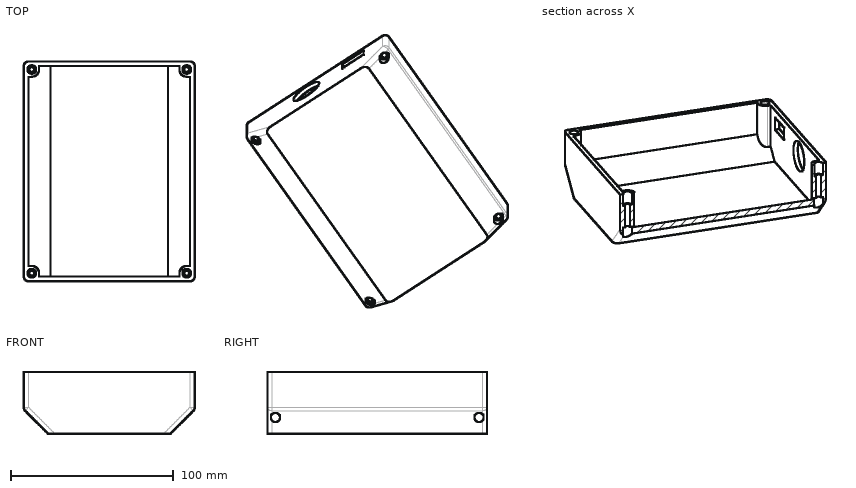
import cadquery as cq

length_x = 105.0
length_y = 135.0
height = 38.0
wall = 3.0
slope_leg = 15.0
inner_slope_leg = 13.6
edge_radius = 3.0

post_inset = 5.0
post_radius = 4.5
screw_diameter = 3.1
insert_diameter = 5.3
insert_depth = 8.0
head_diameter = 5.7
head_seat_z = 15.0

round_diameter = 19.0
round_x = 59.4
round_z = 25.1
window_width = 15.9
window_height = 8.2
window_x = 24.8
window_z = 28.9


def sloped_prism(inset, leg, bottom, y_start, y_end):
    """Prism along Y whose lower side edges are cut at 45 degrees."""
    left = inset
    right = length_x - inset
    outline = [
        (left, height),
        (left, bottom + leg),
        (left + leg, bottom),
        (right - leg, bottom),
        (right, bottom + leg),
        (right, height),
    ]
    return (
        cq.Workplane("XZ", origin=(0, y_start, 0))
        .polyline(outline)
        .close()
        .extrude(y_start - y_end)
    )


def make_outer_body():
    body = sloped_prism(0, slope_leg, 0, 0, length_y)
    upright_edges = body.edges("|Z").vals()
    bend_edges = body.edges("|Y").edges("not(<Z or >Z)").vals()
    slope_edges = body.edges("not(|X or |Y or |Z)").vals()
    return body.newObject(upright_edges + bend_edges + slope_edges).fillet(edge_radius)


def make_cavity():
    return sloped_prism(wall, inner_slope_leg, wall, wall, length_y - wall)


def upright_block(x, y, size_x, size_y):
    return cq.Workplane("XY").center(x, y).rect(size_x, size_y).extrude(height)


def make_post(x, y):
    """Round post with flat sides running from its axis out to both nearby walls."""
    outer_x = 0 if x < length_x / 2 else length_x
    outer_y = 0 if y < length_y / 2 else length_y
    column = cq.Workplane("XY").center(x, y).circle(post_radius).extrude(height)
    web_x = upright_block((x + outer_x) / 2, y, post_inset, 2 * post_radius)
    web_y = upright_block(x, (y + outer_y) / 2, 2 * post_radius, post_inset)
    return column.union(web_x).union(web_y)


def bore(x, y, diameter, bottom, top):
    return (
        cq.Workplane("XY", origin=(x, y, bottom))
        .circle(diameter / 2)
        .extrude(top - bottom)
    )


def make_screw_hole(x, y):
    """Through hole with an insert bore at the rim and a screw head bore from below."""
    shank = bore(x, y, screw_diameter, 0, height)
    insert = bore(x, y, insert_diameter, height - insert_depth, height)
    head = bore(x, y, head_diameter, 0, head_seat_z)
    return shank.union(insert).union(head)


def make_wall_openings():
    outer_face = cq.Workplane("XZ", origin=(0, length_y, 0))
    round_opening = outer_face.center(round_x, round_z).circle(round_diameter / 2).extrude(wall)
    window = outer_face.center(window_x, window_z).rect(window_width, window_height).extrude(wall)
    return round_opening.union(window)


post_centers = [
    (x, y)
    for x in (post_inset, length_x - post_inset)
    for y in (post_inset, length_y - post_inset)
]

cavity = make_cavity()
for x, y in post_centers:
    cavity = cavity.cut(make_post(x, y))

result = make_outer_body().cut(cavity)
for x, y in post_centers:
    result = result.cut(make_screw_hole(x, y))
result = result.cut(make_wall_openings())